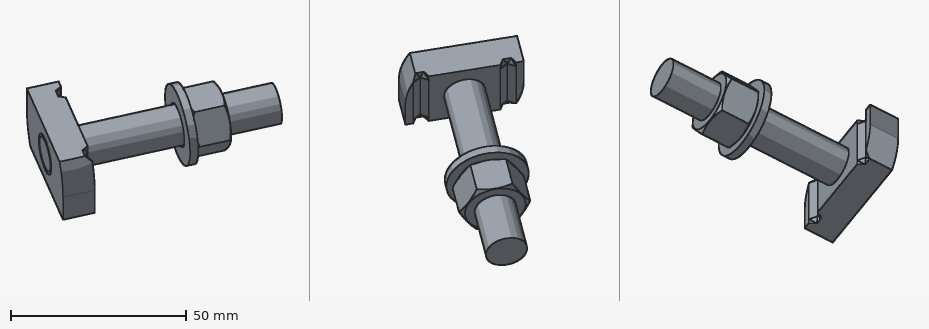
import cadquery as cq
import math

TOTAL_LENGTH = 69.0
STUD_DIAMETER = 12.0
STUD_TIP_DIAMETER = 10.35
STUD_TIP_LENGTH = 0.035

HEAD_LENGTH = 34.5
HEAD_WIDTH = 20.2
HEAD_THICKNESS = 9.5
CORNER_START_Z = 1.0
CORNER_END_X = 14.0

NOTCH_CENTRE = 12.7
NOTCH_WIDTH = 4.55
NOTCH_DEPTH = 1.45
FLARE_DEPTH = 1.9
FLARE_FLOOR_WIDTH = 2.35
FLARE_LENGTH = 1.7

WASHER_START = 39.6
WASHER_THICKNESS = 2.5
WASHER_DIAMETER = 24.0
WASHER_BORE = 13.0

NUT_START = WASHER_START + WASHER_THICKNESS
NUT_HEIGHT = 10.8
NUT_ACROSS_FLATS = 18.0
NUT_ACROSS_CORNERS = NUT_ACROSS_FLATS / math.cos(math.radians(30))
NUT_FACE_DIAMETER = 17.65
NUT_CHAMFER_ANGLE = 30.0


def cylinder(diameter, start, length):
    """Cylinder on the Y axis from start towards +Y."""
    plane = cq.Workplane("XZ", origin=(0, start, 0))
    return plane.circle(diameter / 2).extrude(-length)


def make_head_blank():
    """Rectangle with two opposite corners rounded by arcs tangent to the short sides."""
    half_x = HEAD_LENGTH / 2
    half_z = HEAD_WIDTH / 2
    outline = (
        cq.Workplane("XZ")
        .moveTo(half_x, -half_z)
        .lineTo(half_x, -CORNER_START_Z)
        .tangentArcPoint((CORNER_END_X, half_z), relative=False)
        .lineTo(-half_x, half_z)
        .lineTo(-half_x, CORNER_START_Z)
        .tangentArcPoint((-CORNER_END_X, -half_z), relative=False)
        .close()
    )
    return outline.extrude(-HEAD_THICKNESS)


def make_notch(x):
    """V groove along Z, cut in the back of the head."""
    back = HEAD_THICKNESS
    return (
        cq.Workplane("XY")
        .polyline([(x - NOTCH_WIDTH / 2, back), (x, back - NOTCH_DEPTH), (x + NOTCH_WIDTH / 2, back)])
        .close()
        .extrude(HEAD_WIDTH / 2, both=True)
    )


def make_notch_flare(x, side):
    """Wedge that widens and deepens a notch towards its open end at +Z (side 1) or -Z (side -1)."""
    end_z = side * HEAD_WIDTH / 2
    inner_z = side * (HEAD_WIDTH / 2 - FLARE_LENGTH)
    back = HEAD_THICKNESS
    left = cq.Vector(x - NOTCH_WIDTH / 2, back, end_z)
    right = cq.Vector(x + NOTCH_WIDTH / 2, back, end_z)
    floor_left = cq.Vector(x - FLARE_FLOOR_WIDTH / 2, back - FLARE_DEPTH, end_z)
    floor_right = cq.Vector(x + FLARE_FLOOR_WIDTH / 2, back - FLARE_DEPTH, end_z)
    inner_left = cq.Vector(x - NOTCH_WIDTH / 2, back, inner_z)
    inner_right = cq.Vector(x + NOTCH_WIDTH / 2, back, inner_z)
    inner_floor = cq.Vector(x, back - NOTCH_DEPTH, inner_z)
    outlines = [
        [left, floor_left, floor_right, right],
        [inner_left, inner_floor, inner_right],
        [left, right, inner_right, inner_left],
        [left, inner_left, floor_left],
        [inner_left, inner_floor, floor_left],
        [floor_left, inner_floor, floor_right],
        [floor_right, inner_floor, inner_right],
        [floor_right, inner_right, right],
    ]
    faces = [cq.Face.makeFromWires(cq.Wire.makePolygon(points, close=True)) for points in outlines]
    return cq.Workplane(cq.Solid.makeSolid(cq.Shell.makeShell(faces)))


def make_head():
    head = make_head_blank().cut(cylinder(STUD_DIAMETER, 0, HEAD_THICKNESS))
    for x in (-NOTCH_CENTRE, NOTCH_CENTRE):
        head = head.cut(make_notch(x))
        for side in (-1, 1):
            head = head.cut(make_notch_flare(x, side))
    return head


def make_stud():
    tip = cylinder(STUD_TIP_DIAMETER, 0, STUD_TIP_LENGTH)
    shank = cylinder(STUD_DIAMETER, STUD_TIP_LENGTH, TOTAL_LENGTH - STUD_TIP_LENGTH)
    return tip.union(shank)


def make_washer():
    disc = cylinder(WASHER_DIAMETER, WASHER_START, WASHER_THICKNESS)
    return disc.cut(cylinder(WASHER_BORE, WASHER_START, WASHER_THICKNESS))


def make_nut():
    """Hexagon with corners on the X axis, both ends trimmed by a conical chamfer."""
    hexagon = (
        cq.Workplane("XZ", origin=(0, NUT_START, 0))
        .polygon(6, NUT_ACROSS_CORNERS)
        .extrude(-NUT_HEIGHT)
    )
    corner_radius = NUT_ACROSS_CORNERS / 2
    face_radius = NUT_FACE_DIAMETER / 2
    drop = (corner_radius - face_radius) * math.tan(math.radians(NUT_CHAMFER_ANGLE))
    nut_end = NUT_START + NUT_HEIGHT
    envelope = (
        cq.Workplane("XY")
        .polyline([
            (0, NUT_START),
            (face_radius, NUT_START),
            (corner_radius, NUT_START + drop),
            (corner_radius, nut_end - drop),
            (face_radius, nut_end),
            (0, nut_end),
        ])
        .close()
        .revolve(360, (0, 0, 0), (0, 1, 0))
    )
    return hexagon.intersect(envelope).cut(cylinder(STUD_DIAMETER, NUT_START, NUT_HEIGHT))


head = make_head()
stud = make_stud()
washer = make_washer()
nut = make_nut()

result = cq.Compound.makeCompound([head.val(), stud.val(), washer.val(), nut.val()])